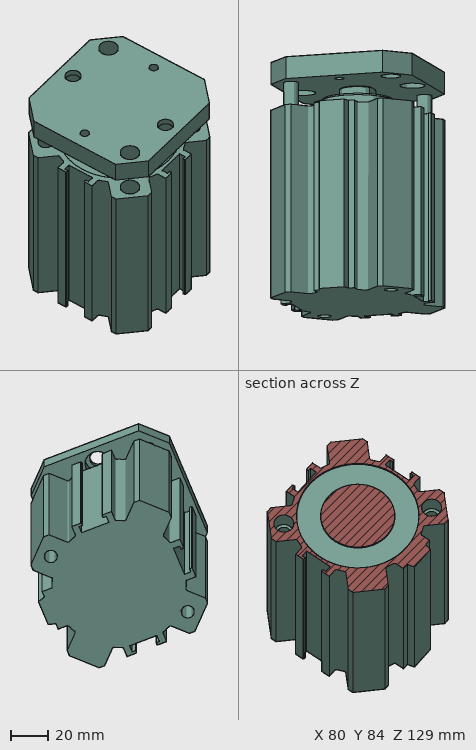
import cadquery as cq

overall_height = 129.0
body_width = 80.0
plate_thickness = 12.0
plate_gap = 14.2
corner_offset = 28.3

half_width = body_width / 2
housing_height = overall_height - plate_thickness - plate_gap
plate_bottom = overall_height - plate_thickness
outside = half_width + 1.3

housing_corner_chamfer = 12.3
corner_bore_diameter = 10.5
corner_bore_depth = 10.0
corner_through_diameter = 7.0
end_recess_diameter = 65.5
end_recess_depth = 1.3
boss_diameter = 40.0
boss_height = 8.3
boss_chamfer = 1.0
boss_top = housing_height + boss_height

tube_radius = 36.0
groove_start = 31.5
lip_outer = 11.5
corner_land_inner = 24.5
groove_fillet = 1.0
slot_floor = 34.6
slot_mouth_half_width = 5.9
slot_mouth_bevel = 0.4
slot_cavity_half_width = 7.9
lip_setback = 0.3
lip_thickness = 1.5

rail_angle = 90
rail_height = 4.0
rail_base_width = 16.3
rail_top_width = 14.2

plate_corner_chamfer = 12.6
mount_offset = 31.0
mount_hole_diameter = 8.5
mount_bore_diameter = 13.5
mount_bore_depth = 8.5
dowel_hole_diameter = 4.9
guide_rod_diameter = 8.0
piston_rod_diameter = 20.0
piston_rod_chamfer = 0.5
piston_rod_flats = 17.0
flat_foot_height = 1.5
flat_bottom = boss_top + flat_foot_height

hole_corners = [(-corner_offset, corner_offset), (corner_offset, -corner_offset)]
rod_corners = [(-corner_offset, -corner_offset), (corner_offset, corner_offset)]
mount_points = [(-mount_offset, 0), (mount_offset, 0)]
dowel_points = [(0, -mount_offset), (0, mount_offset)]


def cylinders(points, diameter, bottom, top):
    """Upright cylinders at the given points, from one height to another."""
    return (
        cq.Workplane("XY", origin=(0, 0, bottom))
        .pushPoints(points)
        .circle(diameter / 2)
        .extrude(top - bottom)
    )


def chamfered_square(chamfer, bottom, top):
    """Square block of the common width with its four upright edges chamfered."""
    return (
        cq.Workplane("XY", origin=(0, 0, bottom))
        .rect(body_width, body_width)
        .extrude(top - bottom)
        .edges("|Z")
        .chamfer(chamfer)
    )


def corner_groove():
    """Cutter beside a lip of the +X side: straight lip wall, 45 degree wall, tube at the bottom."""
    wall_shift = half_width - corner_land_inner
    wedge = (
        cq.Workplane("XY")
        .polyline([
            (groove_start, lip_outer),
            (outside, lip_outer),
            (outside, outside - wall_shift),
            (groove_start, groove_start - wall_shift),
        ])
        .close()
        .extrude(housing_height)
        .cut(cylinders([(0, 0)], 2 * tube_radius, 0, housing_height))
    )
    near_tube = cq.selectors.BoxSelector((0, 0, 0), (tube_radius, outside, housing_height))
    return wedge.edges("|Z").edges(near_tube).fillet(groove_fillet)


def t_slot():
    """Cutter for the middle of the +X side: sets the lips back and leaves a T-slot between them."""
    lip_face = half_width - lip_setback
    lip_inner = lip_face - lip_thickness
    upper_half = [
        (outside, lip_outer),
        (lip_face, lip_outer),
        (lip_face, slot_mouth_half_width + slot_mouth_bevel),
        (lip_face - slot_mouth_bevel, slot_mouth_half_width),
        (lip_inner, slot_mouth_half_width),
        (lip_inner, slot_cavity_half_width),
        (slot_floor, slot_cavity_half_width),
    ]
    lower_half = [(x, -y) for x, y in reversed(upper_half)]
    return cq.Workplane("XY").polyline(upper_half + lower_half).close().extrude(housing_height)


def rail():
    """Tapered rail that stands on the +Y side over the full height of the housing."""
    return (
        cq.Workplane("XY")
        .polyline([
            (-rail_base_width / 2, half_width),
            (rail_base_width / 2, half_width),
            (rail_top_width / 2, half_width + rail_height),
            (-rail_top_width / 2, half_width + rail_height),
        ])
        .close()
        .extrude(housing_height)
    )


def make_housing():
    """Extruded cylinder body with grooved sides, a rail and the rod boss on its end."""
    housing = chamfered_square(housing_corner_chamfer, 0, housing_height)

    groove = corner_groove()
    groove_pair = groove.union(groove.mirror("XZ"))
    slot = t_slot()
    for angle in (0, 90, 180, 270):
        housing = housing.cut(groove_pair.rotate((0, 0, 0), (0, 0, 1), angle))
        if angle != rail_angle:
            housing = housing.cut(slot.rotate((0, 0, 0), (0, 0, 1), angle))
    housing = housing.union(rail())

    bore_bottom = housing_height - corner_bore_depth
    housing = housing.cut(cylinders(hole_corners, corner_through_diameter, 0, housing_height))
    housing = housing.cut(cylinders(hole_corners, corner_bore_diameter, bore_bottom, housing_height))

    recess_bottom = housing_height - end_recess_depth
    housing = housing.cut(cylinders([(0, 0)], end_recess_diameter, recess_bottom, housing_height))
    boss = cylinders([(0, 0)], boss_diameter, recess_bottom, boss_top)
    boss = boss.faces(">Z").edges().chamfer(boss_chamfer)
    return housing.union(boss)


def piston_rod():
    """Rod from the boss to the plate, with wrench flats on its -X and +X sides above the foot."""
    rod = cylinders([(0, 0)], piston_rod_diameter, boss_top, plate_bottom)
    rod = rod.faces(">Z").edges().chamfer(piston_rod_chamfer)
    flat_depth = (piston_rod_diameter - piston_rod_flats) / 2
    flat_centre = (piston_rod_flats + flat_depth) / 2
    flats = (
        cq.Workplane("XY", origin=(0, 0, flat_bottom))
        .pushPoints([(-flat_centre, 0), (flat_centre, 0)])
        .rect(flat_depth, piston_rod_diameter)
        .extrude(plate_bottom - flat_bottom)
    )
    return rod.cut(flats)


def make_carriage():
    """Moving plate with its piston rod and two guide rods, which end on the housing."""
    plate = chamfered_square(plate_corner_chamfer, plate_bottom, overall_height)
    mount_bore_top = plate_bottom + mount_bore_depth
    plate = plate.cut(cylinders(hole_corners, corner_bore_diameter, plate_bottom, overall_height))
    plate = plate.cut(cylinders(mount_points, mount_hole_diameter, plate_bottom, overall_height))
    plate = plate.cut(cylinders(mount_points, mount_bore_diameter, plate_bottom, mount_bore_top))
    plate = plate.cut(cylinders(dowel_points, dowel_hole_diameter, plate_bottom, overall_height))

    guide_rods = cylinders(rod_corners, guide_rod_diameter, housing_height, plate_bottom)

    return plate.union(guide_rods).union(piston_rod())


housing = make_housing()
carriage = make_carriage()

result = cq.Compound.makeCompound([housing.val(), carriage.val()])